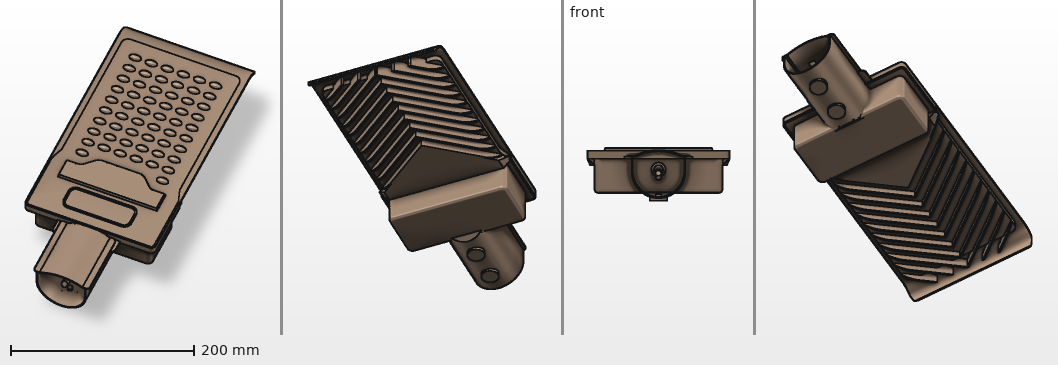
import cadquery as cq
import math


TOTAL_LENGTH = 355.0

FRAME_WIDTH = 155.0
FRAME_BACK_Y = 75.3
SHEET = 2.0
RIM_DEPTH = 9.0
SKIRT_END_Y = 146.0
VISOR_START_Y = 332.3
VISOR_DROP = 15.3
VISOR_CORNER = 8.5
BACK_CORNER = 5.7

PANEL_FRONT_Y = 331.2
PANEL_NARROW_HALF = 70.3
PANEL_WIDE_HALF = FRAME_WIDTH / 2 - SHEET
PANEL_BACK_Y = FRAME_BACK_Y + SHEET
PANEL_FRONT_CORNER = 7.8
FLARE_START_Y = 162.0
FLARE_END_Y = 147.0
FLARE_BLEND = 7.0

RELIEF = 3.2
LENS_ROWS = 10
LENS_COLUMNS = 6
LENS_PITCH_X = 19.0
LENS_PITCH_Y = 16.0
FIRST_LENS_Y = 310.0
LENS_HALF_LENGTH = 7.0
LENS_RADIUS = 4.3

PLINTH_HALF = 59.3
PLINTH_BACK_Y = 125.3
PLINTH_SHOULDER_Y = 149.0
PLINTH_FRONT_Y = 164.0
PLINTH_CREST_HALF = 22.5
PLINTH_BEND = 11.0
PLINTH_DRAFT = 1.0

LABEL_LENGTH = 81.0
LABEL_WIDTH = 29.8
LABEL_CENTRE_Y = 105.5
LABEL_CORNER = 8.5
GROOVE_WIDTH = 2.0
GROOVE_DEPTH = 0.7

FIN_COUNT = 11
FIN_THICKNESS = 1.8
FIN_SLOPE = 0.8
FIN_TIP_Y = 319.0
FIN_FRONT_Y = 342.2
FIN_BOTTOM_Z = -17.8
FIN_EDGE_Z = -10.5
FIN_FLAT_HALF = 52.0
FIN_ARC_MIDDLE = (63.5, -15.5)
FIN_FRONT_TOP_Z = -3.5
FIN_END_HALF = 76.7
FIN_END_FLAT_HALF = 67.8

BOX_HALF = 70.0
BOX_BACK_Y = 85.0
BOX_BOTTOM_Z = -46.0
BOX_CORNER = 6.5
BOX_BOTTOM_FILLET = 4.3

SOCKET_RADIUS = 29.5
SOCKET_WALL = 1.5
SOCKET_AXIS_Z = -22.5
SOCKET_TOP_Z = -6.7
JOINT_FILLET = 1.5
SOCKET_LEAD = 6.0
EAR_HALF = 37.3
EAR_THICKNESS = 2.0
EAR_END_Y = 58.0
EAR_CORNER = 6.5

BOSS_YS = (24.5, 63.2)
BOSS_RADIUS = 9.5
BOSS_BOTTOM_Z = -54.5
SCREW_RADIUS = 3.0
SCREW_TIP_Z = -47.5

GLAND_Z = -20.5
GLAND_RADIUS = 7.8
GLAND_TIP_RADIUS = 5.0
GLAND_LENGTH = 7.0
CABLE_ROOT = 1.8
CABLE_RADIUS = 3.5
CABLE_SAG = (32.0, -28.5)
CABLE_END = (9.5, -24.5)

SADDLE_HALF = 33.0
SADDLE_THICKNESS = 1.5
SADDLE_ARCH_HALF = 25.5
SADDLE_CREST_Z = 0.7
SADDLE_CORNER = 3.5


def block(x_half, y0, y1, z0, z1):
    """Box that is symmetric in X and spans the given Y and Z ranges."""
    return cq.Workplane("XY").box(2 * x_half, y1 - y0, z1 - z0, centered=False).translate((-x_half, y0, z0))


def along_y(profile, y0, y1):
    """Extrude a closed XZ profile from y0 to y1."""
    return profile.extrude(-(y1 - y0)).translate((0, y0, 0))


def upright(radius, y, z0, z1):
    """Vertical cylinder on the symmetry plane."""
    return cq.Workplane("XY").circle(radius).extrude(z1 - z0).translate((0, y, z0))


def lens_panel():
    """Plain panel: narrow beside the lenses, flaring out over the driver box."""
    half_outline = [
        (PANEL_NARROW_HALF, PANEL_FRONT_Y),
        (PANEL_NARROW_HALF, FLARE_START_Y),
        (PANEL_WIDE_HALF, FLARE_END_Y),
        (PANEL_WIDE_HALF, PANEL_BACK_Y),
    ]
    mirrored = [(-x, y) for x, y in reversed(half_outline)]
    panel = cq.Workplane("XY").polyline(half_outline + mirrored).close().extrude(-RIM_DEPTH)
    panel = panel.edges("|Z").edges(">Y").fillet(PANEL_FRONT_CORNER)
    panel = panel.edges("|Z").edges("<Y").fillet(BACK_CORNER - SHEET)
    flare_zone = cq.selectors.BoxSelector(
        (-FRAME_WIDTH, FLARE_END_Y - SHEET, -FRAME_WIDTH), (FRAME_WIDTH, FLARE_START_Y + SHEET, FRAME_WIDTH)
    )
    return panel.edges("|Z").edges(flare_zone).fillet(FLARE_BLEND)


def make_frame(panel):
    """Thin rim around the panel with a skirt at the back and a visor bent down at the front."""
    reach = TOTAL_LENGTH - VISOR_START_Y
    radius = (reach**2 + VISOR_DROP**2) / (2 * VISOR_DROP)
    sweep = math.asin(reach / radius)

    def visor_point(r, angle):
        return (VISOR_START_Y + r * math.sin(angle), r * math.cos(angle) - radius)

    inner = radius - SHEET
    sheet = (
        cq.Workplane("YZ")
        .moveTo(FRAME_BACK_Y, 0)
        .lineTo(VISOR_START_Y, 0)
        .threePointArc(visor_point(radius, sweep / 2), visor_point(radius, sweep))
        .lineTo(*visor_point(inner, sweep))
        .threePointArc(visor_point(inner, sweep / 2), visor_point(inner, 0))
        .lineTo(FRAME_BACK_Y, -SHEET)
        .close()
        .extrude(FRAME_WIDTH / 2, both=True)
    )
    skirt = block(FRAME_WIDTH / 2, FRAME_BACK_Y, SKIRT_END_Y, -RIM_DEPTH, 0)
    plan = block(FRAME_WIDTH / 2, FRAME_BACK_Y, TOTAL_LENGTH, -TOTAL_LENGTH / 2, TOTAL_LENGTH / 2)
    plan = plan.edges("|Z and >Y").fillet(VISOR_CORNER).edges("|Z and <Y").fillet(BACK_CORNER)
    return sheet.union(skirt).intersect(plan).cut(panel)


def lenses():
    """Oval domes in a grid; the last row keeps only its two outer domes."""
    dome = (
        cq.Workplane("XZ")
        .ellipseArc(LENS_HALF_LENGTH, LENS_RADIUS, 0, 180, startAtCurrent=False)
        .close()
        .revolve(360, (0, 0, 0), (1, 0, 0))
        .translate((0, 0, RELIEF - LENS_RADIUS))
    )
    domes = []
    for row in range(LENS_ROWS):
        for column in range(LENS_COLUMNS):
            outer_column = column in (0, LENS_COLUMNS - 1)
            if row == LENS_ROWS - 1 and not outer_column:
                continue
            x = (column - (LENS_COLUMNS - 1) / 2) * LENS_PITCH_X
            domes.append(dome.val().translate(cq.Vector(x, FIRST_LENS_Y - row * LENS_PITCH_Y, 0)))
    return domes


def plinth():
    """Low raised plate whose front edge swells forward in the middle through two S-bends."""
    slant = math.sqrt(0.5)
    bend_x = PLINTH_BEND * slant
    bend_y = PLINTH_BEND * (1 - slant)
    half_bend_x = PLINTH_BEND * math.sin(math.pi / 8)
    half_bend_y = PLINTH_BEND * (1 - math.cos(math.pi / 8))
    flank_rise = PLINTH_FRONT_Y - PLINTH_SHOULDER_Y - 2 * bend_y
    foot = PLINTH_CREST_HALF + 2 * bend_x + flank_rise
    outline = (
        cq.Workplane("XY")
        .moveTo(0, PLINTH_BACK_Y)
        .lineTo(PLINTH_HALF, PLINTH_BACK_Y)
        .lineTo(PLINTH_HALF, PLINTH_SHOULDER_Y)
        .lineTo(foot, PLINTH_SHOULDER_Y)
        .threePointArc(
            (foot - half_bend_x, PLINTH_SHOULDER_Y + half_bend_y), (foot - bend_x, PLINTH_SHOULDER_Y + bend_y)
        )
        .lineTo(PLINTH_CREST_HALF + bend_x, PLINTH_FRONT_Y - bend_y)
        .threePointArc(
            (PLINTH_CREST_HALF + half_bend_x, PLINTH_FRONT_Y - half_bend_y),
            (PLINTH_CREST_HALF, PLINTH_FRONT_Y),
        )
        .lineTo(0, PLINTH_FRONT_Y)
        .mirrorY()
    )
    return outline.extrude(RELIEF, taper=math.degrees(math.atan(PLINTH_DRAFT / RELIEF)))


def label_groove():
    """Ring-shaped groove around the label area."""

    def rounded(inset):
        plate = cq.Workplane("XY").box(LABEL_LENGTH - 2 * inset, LABEL_WIDTH - 2 * inset, 2 * GROOVE_DEPTH)
        return plate.edges("|Z").fillet(LABEL_CORNER - inset)

    return rounded(0).cut(rounded(GROOVE_WIDTH)).translate((0, LABEL_CENTRE_Y, 0))


def chevron(front_tip_y, thickness):
    """V-shaped bar pointing to +Y; the tip is its outer front corner at the panel side."""
    half = FIN_END_HALF
    side_y = front_tip_y - FIN_SLOPE * (half - PANEL_NARROW_HALF)
    apex_y = front_tip_y + FIN_SLOPE * PANEL_NARROW_HALF
    depth = thickness * math.hypot(1, FIN_SLOPE)
    front = [(-half, side_y), (0, apex_y), (half, side_y)]
    back = [(x, y - depth) for x, y in reversed(front)]
    return cq.Workplane("XY").polyline(front + back).close().extrude(FIN_BOTTOM_Z)


def cooling_fins():
    """V-shaped fins under the panel with rounded lower edges, ending in a solid bevelled block."""
    fin_section = (
        cq.Workplane("XZ")
        .moveTo(-PANEL_NARROW_HALF, -RIM_DEPTH)
        .lineTo(PANEL_NARROW_HALF, -RIM_DEPTH)
        .lineTo(PANEL_NARROW_HALF, FIN_EDGE_Z)
        .threePointArc(FIN_ARC_MIDDLE, (FIN_FLAT_HALF, FIN_BOTTOM_Z))
        .lineTo(-FIN_FLAT_HALF, FIN_BOTTOM_Z)
        .threePointArc((-FIN_ARC_MIDDLE[0], FIN_ARC_MIDDLE[1]), (-PANEL_NARROW_HALF, FIN_EDGE_Z))
        .close()
    )
    end_section = (
        cq.Workplane("XZ")
        .polyline([
            (-FIN_END_HALF, -RIM_DEPTH),
            (FIN_END_HALF, -RIM_DEPTH),
            (FIN_END_FLAT_HALF, FIN_BOTTOM_Z),
            (-FIN_END_FLAT_HALF, FIN_BOTTOM_Z),
        ])
        .close()
    )
    front_zone = block(PANEL_NARROW_HALF, PANEL_FRONT_Y, FIN_FRONT_Y, -RIM_DEPTH, FIN_FRONT_TOP_Z)
    envelope = along_y(fin_section, SKIRT_END_Y, FIN_FRONT_Y).union(front_zone)

    end_tip_y = FIN_TIP_Y - (FIN_COUNT - 1) * LENS_PITCH_Y - FIN_THICKNESS
    fins = along_y(end_section, SKIRT_END_Y, FIN_FRONT_Y).intersect(chevron(end_tip_y, TOTAL_LENGTH))
    for index in range(FIN_COUNT):
        fins = fins.union(chevron(FIN_TIP_Y - index * LENS_PITCH_Y, FIN_THICKNESS).intersect(envelope))
    return fins


def driver_box():
    """Rounded box under the back part of the panel."""
    box = block(BOX_HALF, BOX_BACK_Y, SKIRT_END_Y, BOX_BOTTOM_Z, -RIM_DEPTH)
    return box.edges("|Z").fillet(BOX_CORNER).faces("<Z").edges().fillet(BOX_BOTTOM_FILLET)


def trough(inset):
    """Solid with a half-round bottom and straight sides, bevelled under the box; inset shrinks it."""
    radius = SOCKET_RADIUS - inset
    bottom_z = SOCKET_AXIS_Z - radius
    end_y = BOX_BACK_Y + SOCKET_LEAD - inset
    profile = (
        cq.Workplane("XZ")
        .moveTo(-radius, SOCKET_TOP_Z)
        .lineTo(-radius, SOCKET_AXIS_Z)
        .threePointArc((0, bottom_z), (radius, SOCKET_AXIS_Z))
        .lineTo(radius, SOCKET_TOP_Z)
        .close()
    )
    bevel = (
        cq.Workplane("YZ")
        .polyline([(end_y - SOCKET_LEAD, bottom_z), (end_y, bottom_z), (end_y, bottom_z + SOCKET_LEAD)])
        .close()
        .extrude(radius, both=True)
    )
    under_rim = block(radius, FRAME_BACK_Y, end_y, -RIM_DEPTH, 0)
    return along_y(profile, 0, end_y).cut(bevel).cut(under_rim)


def pole_socket(box):
    """U-shaped trough on the back of the box, with side ears, clamping bosses and screw tips."""
    shell = box.union(trough(0))
    joint = cq.selectors.BoxSelector(
        (-EAR_HALF, BOX_BACK_Y - JOINT_FILLET, BOX_BOTTOM_Z + BOX_BOTTOM_FILLET + JOINT_FILLET),
        (EAR_HALF, BOX_BACK_Y + JOINT_FILLET, -RIM_DEPTH - JOINT_FILLET),
    )
    shell = shell.edges(joint).fillet(JOINT_FILLET)
    ears = block(EAR_HALF, EAR_END_Y, FRAME_BACK_Y, SOCKET_TOP_Z - EAR_THICKNESS, SOCKET_TOP_Z)
    shell = shell.union(ears.edges("|Z and <Y").fillet(EAR_CORNER))
    for y in BOSS_YS:
        shell = shell.union(upright(BOSS_RADIUS, y, BOSS_BOTTOM_Z, SOCKET_AXIS_Z))
    shell = shell.cut(trough(SOCKET_WALL).cut(box))
    for y in BOSS_YS:
        shell = shell.union(upright(SCREW_RADIUS, y, BOSS_BOTTOM_Z, SCREW_TIP_Z))
    return shell


def cable_and_gland():
    """Tapered gland on the back of the box with a sagging cable end."""
    gland_base = cq.Vector(0, BOX_BACK_Y, GLAND_Z)
    cone = cq.Solid.makeCone(GLAND_RADIUS, GLAND_TIP_RADIUS, GLAND_LENGTH, gland_base, cq.Vector(0, -1, 0))
    start = (BOX_BACK_Y + CABLE_ROOT, GLAND_Z)
    path = cq.Workplane("YZ").spline([start, CABLE_SAG, CABLE_END])
    cable = cq.Workplane("XZ", origin=(0, *start)).circle(CABLE_RADIUS).sweep(path)
    return cq.Workplane(cone).union(cable)


def make_housing(panel, frame):
    """Everything carried by the lamp housing, as one solid."""
    housing = panel.union(pole_socket(driver_box())).union(cooling_fins()).union(plinth()).cut(label_groove())
    housing = cq.Workplane(housing.val().fuse(*lenses()))
    housing = housing.union(cable_and_gland())
    return housing.cut(frame)


def make_saddle():
    """Bent strip with two flat flanges and a shallow arch over the socket."""
    under_z = SOCKET_TOP_Z
    flange_z = SOCKET_TOP_Z + SADDLE_THICKNESS
    profile = (
        cq.Workplane("XZ")
        .moveTo(-SADDLE_HALF, flange_z)
        .lineTo(-SADDLE_ARCH_HALF, flange_z)
        .threePointArc((0, SADDLE_CREST_Z), (SADDLE_ARCH_HALF, flange_z))
        .lineTo(SADDLE_HALF, flange_z)
        .lineTo(SADDLE_HALF, under_z)
        .lineTo(SADDLE_ARCH_HALF, under_z)
        .threePointArc((0, SADDLE_CREST_Z - SADDLE_THICKNESS), (-SADDLE_ARCH_HALF, under_z))
        .lineTo(-SADDLE_HALF, under_z)
        .close()
    )
    saddle = along_y(profile, 0, FRAME_BACK_Y)
    return saddle.edges("|Z").fillet(SADDLE_CORNER)


plain_panel = lens_panel()
frame = make_frame(plain_panel)
housing = make_housing(plain_panel, frame)
saddle = make_saddle()

result = cq.Compound.makeCompound([body.solids().val() for body in (frame, housing, saddle)])